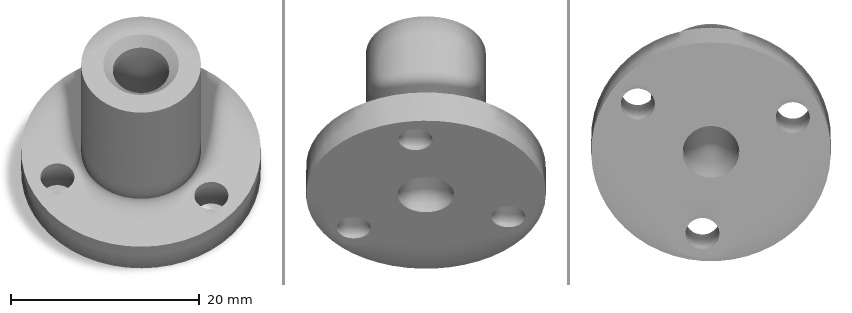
import cadquery as cq

flange_diameter = 25.4
flange_thickness = 3.8
bolt_hole_diameter = 3.6
bolt_circle_diameter = 19.05
bolt_hole_count = 3
first_bolt_angle = 30

total_height = 19.05
sleeve_diameter = 12.7
bore_diameter = 6.0
bore_mouth_diameter = 8.0
bore_chamfer = (bore_mouth_diameter - bore_diameter) / 2

flange = cq.Workplane("XY").circle(flange_diameter / 2).extrude(flange_thickness)
sleeve = cq.Workplane("XY").circle(sleeve_diameter / 2).extrude(total_height)
body = flange.union(sleeve)

body = body.faces(">Z").workplane().hole(bore_diameter)
body = body.faces(">Z").edges(cq.selectors.RadiusNthSelector(0)).chamfer(bore_chamfer)

bolt_holes = (
    cq.Workplane("XY")
    .polarArray(bolt_circle_diameter / 2, first_bolt_angle, 360, bolt_hole_count)
    .circle(bolt_hole_diameter / 2)
    .extrude(flange_thickness)
)

result = body.cut(bolt_holes)